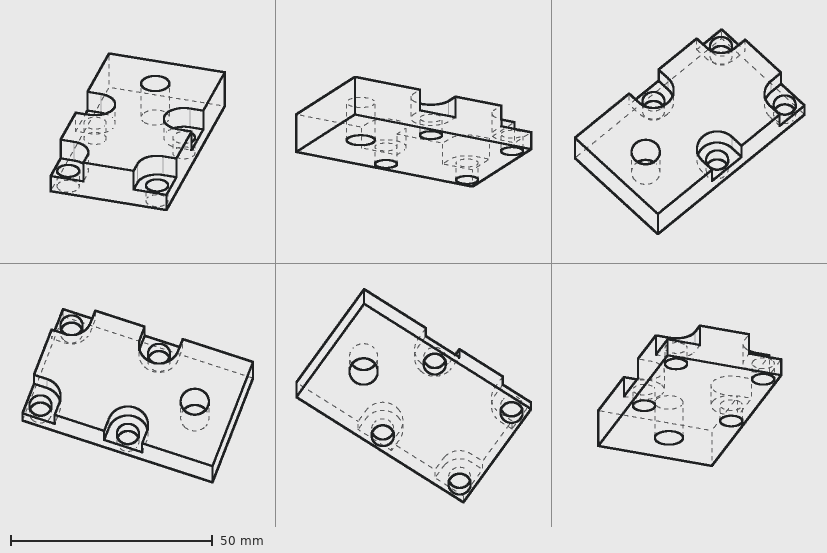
import cadquery as cq

width = 30
length = 50
height = 10

main_hole_diameter = 7
main_hole_from_back = 10

screw_hole_diameter = 5.5
screw_from_edge = 3.5
screw_pitch_y = 23
pocket_radius = 5
pocket_depth = 5.5

screw_x = width / 2 - screw_from_edge
front_screw_y = -length / 2 + screw_from_edge
rear_screw_y = front_screw_y + screw_pitch_y
pocket_floor = height - pocket_depth


def through_hole(x, y, diameter):
    """Vertical cylinder that cuts the full height of the block."""
    return cq.Workplane("XY").center(x, y).circle(diameter / 2).extrude(height)


def pocket_box(x_min, x_max, y_min, y_max):
    """Box from the pocket floor to the top of the block."""
    return (
        cq.Workplane("XY", origin=((x_min + x_max) / 2, (y_min + y_max) / 2, pocket_floor))
        .rect(x_max - x_min, y_max - y_min)
        .extrude(pocket_depth)
    )


def screw_pocket(side, y, opens_front):
    """Round pocket run out to one X side and, if asked, to the front side."""
    x = side * screw_x
    x_edge = side * width / 2
    pocket = cq.Workplane("XY", origin=(x, y, pocket_floor)).circle(pocket_radius).extrude(pocket_depth)
    y_min = y - pocket_radius
    pocket = pocket.union(pocket_box(min(x, x_edge), max(x, x_edge), y_min, y + pocket_radius))
    if opens_front:
        x_inner = x - side * pocket_radius
        pocket = pocket.union(pocket_box(min(x_inner, x_edge), max(x_inner, x_edge), y_min, y))
    return pocket


result = cq.Workplane("XY").box(width, length, height, centered=(True, True, False))
result = result.cut(through_hole(0, length / 2 - main_hole_from_back, main_hole_diameter))

for side in (-1, 1):
    for screw_y, opens_front in ((front_screw_y, True), (rear_screw_y, False)):
        result = result.cut(screw_pocket(side, screw_y, opens_front))
        result = result.cut(through_hole(side * screw_x, screw_y, screw_hole_diameter))